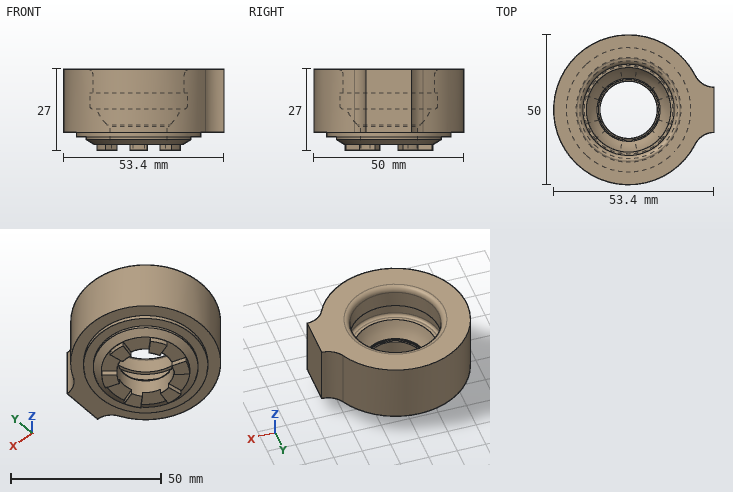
import cadquery as cq
import math

body_radius = 49.95 / 2
overall_length = 53.4
lug_end_x = overall_length - body_radius
lug_half_width = 15.1 / 2

height = 27.0
foot_height = 2.0
collar_chamfer_top = 3.65
collar_top = 4.55
body_bottom = 6.05

step_radius = 41.4 / 2
collar_radius = 34.9 / 2
collar_bottom_radius = 14.75
foot_outer_radius = 14.65

foot_count = 6
foot_half_angle = 11.5
foot_first_angle = 30.0

mouth_round = 1.9
throat_radius = 30.4 / 2
recess_radius = 32.5 / 2
recess_top = 19.1
recess_floor = 13.8
recess_round = 1.05
bowl_rim_radius = 28.15 / 2
bore_entry_radius = 21.0 / 2
bore_radius = 19.0 / 2
bore_step_radius = 20.15 / 2
bore_step_depth = 0.55


def polar(radius, degrees):
    angle = math.radians(degrees)
    return radius * math.cos(angle), radius * math.sin(angle)


def cylinder(radius, bottom, top):
    return cq.Workplane("XY").workplane(offset=bottom).circle(radius).extrude(top - bottom)


def make_lug():
    """Lug whose concave flanks run tangent into the round body."""
    flank_radius = (lug_end_x**2 + lug_half_width**2 - body_radius**2) / (2 * (body_radius - lug_half_width))
    flank_center_y = lug_half_width + flank_radius
    join_angle = math.degrees(math.atan2(flank_center_y, lug_end_x))
    join_x, join_y = polar(body_radius, join_angle)
    middle_angle = (270 + 180 + join_angle) / 2
    offset_x, offset_y = polar(flank_radius, middle_angle)
    middle_x = lug_end_x + offset_x
    middle_y = flank_center_y + offset_y
    return (
        cq.Workplane("XY")
        .workplane(offset=body_bottom)
        .moveTo(0, 0)
        .lineTo(join_x, -join_y)
        .threePointArc((middle_x, -middle_y), (lug_end_x, -lug_half_width))
        .lineTo(lug_end_x, lug_half_width)
        .threePointArc((middle_x, middle_y), (join_x, join_y))
        .close()
        .extrude(height - body_bottom)
    )


def make_underside():
    """Round step and chamfered collar below the body."""
    return (
        cq.Workplane("XZ")
        .moveTo(0, foot_height)
        .lineTo(collar_bottom_radius, foot_height)
        .lineTo(collar_radius, collar_chamfer_top)
        .lineTo(collar_radius, collar_top)
        .lineTo(step_radius, collar_top)
        .lineTo(step_radius, body_bottom)
        .lineTo(0, body_bottom)
        .close()
        .revolve(360, (0, 0), (0, 1))
    )


def make_foot(center_angle):
    """Sector reaching the axis; the through bore trims its inner end."""
    start = center_angle - foot_half_angle
    end = center_angle + foot_half_angle
    return (
        cq.Workplane("XY")
        .moveTo(0, 0)
        .lineTo(*polar(foot_outer_radius, start))
        .threePointArc(polar(foot_outer_radius, center_angle), polar(foot_outer_radius, end))
        .close()
        .extrude(foot_height)
    )


def make_bore():
    """Rounded mouth, undercut recess, spherical bowl and stepped through bore.

    The bowl has the same radius as the throat.
    """
    diagonal = math.sqrt(0.5)
    bowl_center = recess_floor + math.sqrt(throat_radius**2 - bowl_rim_radius**2)
    bowl_bottom = bowl_center - math.sqrt(throat_radius**2 - bore_entry_radius**2)
    middle_radius = (bowl_rim_radius + bore_entry_radius) / 2
    bowl_middle = (middle_radius, bowl_center - math.sqrt(throat_radius**2 - middle_radius**2))
    mouth_middle = (
        throat_radius + mouth_round * (1 - diagonal),
        height - mouth_round * (1 - diagonal),
    )
    corner_inset = recess_round * (1 - diagonal)
    return (
        cq.Workplane("XZ")
        .moveTo(0, 0)
        .lineTo(bore_radius, 0)
        .lineTo(bore_radius, bowl_bottom - bore_step_depth)
        .lineTo(bore_step_radius, bowl_bottom - bore_step_depth)
        .lineTo(bore_step_radius, bowl_bottom)
        .lineTo(bore_entry_radius, bowl_bottom)
        .threePointArc(bowl_middle, (bowl_rim_radius, recess_floor))
        .lineTo(recess_radius - recess_round, recess_floor)
        .threePointArc(
            (recess_radius - corner_inset, recess_floor + corner_inset),
            (recess_radius, recess_floor + recess_round),
        )
        .lineTo(recess_radius, recess_top)
        .lineTo(throat_radius, recess_top)
        .lineTo(throat_radius, height - mouth_round)
        .threePointArc(mouth_middle, (throat_radius + mouth_round, height))
        .lineTo(0, height)
        .close()
        .revolve(360, (0, 0), (0, 1))
    )


result = cylinder(body_radius, body_bottom, height).union(make_lug()).union(make_underside())
for index in range(foot_count):
    result = result.union(make_foot(foot_first_angle + index * 360 / foot_count))
result = result.cut(make_bore())